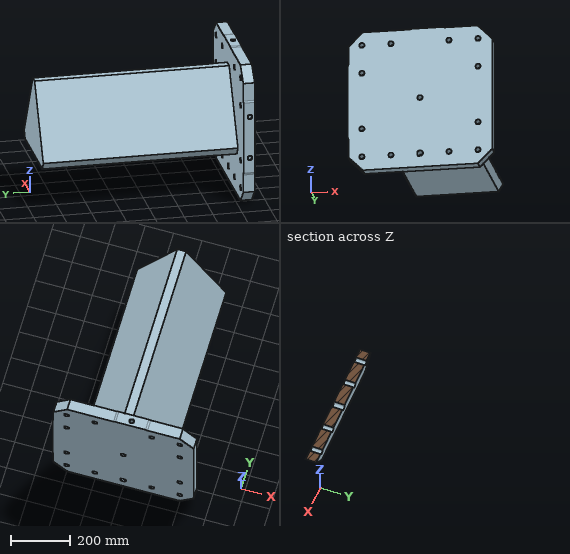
import cadquery as cq
import math

total_length = 714.0
outer_width = 498.0
pad_height = 2.0
plate_thickness = 40.0

plate_right = outer_width / 2
plate_bottom = -outer_width / 2
plate_left = -outer_width / 2 + pad_height
plate_top = outer_width / 2 - pad_height
corner_cut = 49.0

pad_ramp = 7.0
left_pad_length = 270.0
left_pad_center = 0.0
top_pad_length = 120.0
top_pad_center = 25.0

bolt_pitch = 100.0
bolt_diameter = 17.0
dowel_diameter = 20.0
center_hole_diameter = 17.0
edge_hole_diameter = 13.5
edge_hole_mouth_diameter = 16.5
edge_hole_depth = 36.0
edge_hole_setback = 18.0
left_edge_hole_offset = 75.0

column_inradius = 100.0
column_corner_width = 31.5


def make_plate():
    """Plate with cut corners; its front face lies on Y = 0."""
    width = plate_right - plate_left
    height = plate_top - plate_bottom
    return (
        cq.Workplane("XY")
        .box(width, plate_thickness, height, centered=False)
        .translate((plate_left, 0, plate_bottom))
        .edges("|Y")
        .chamfer(corner_cut)
    )


def make_pad(length):
    """Low pad along X with ramped ends, rising from Z = 0."""
    half = length / 2
    outline = [
        (-half, 0),
        (-half + pad_ramp, pad_height),
        (half - pad_ramp, pad_height),
        (half, 0),
    ]
    return cq.Workplane("XZ").polyline(outline).close().extrude(-plate_thickness)


def make_column():
    """Equilateral prism, one corner up, running back from the rear face of the plate."""
    apex_radius = 2 * column_inradius
    flat_distance = apex_radius - column_corner_width / 2 * math.sqrt(3)
    half_flat = column_corner_width / 2
    outline = []
    for corner_angle in (90, 210, 330):
        angle = math.radians(corner_angle)
        for side in (-half_flat, half_flat):
            x = flat_distance * math.cos(angle) - side * math.sin(angle)
            z = flat_distance * math.sin(angle) + side * math.cos(angle)
            outline.append((x, z))
    return (
        cq.Workplane("XZ", origin=(0, plate_thickness, 0))
        .polyline(outline)
        .close()
        .extrude(plate_thickness - total_length)
    )


def front_holes(points, diameter):
    """Cutters running through the plate thickness."""
    return cq.Workplane("XZ").pushPoints(points).circle(diameter / 2).extrude(-plate_thickness)


def edge_hole(mouth, direction):
    """Cutter for a blind hole with a 45 degree chamfered mouth, drilled into an edge of the plate."""
    start = cq.Vector(mouth)
    axis = cq.Vector(direction)
    bore_radius = edge_hole_diameter / 2
    mouth_radius = edge_hole_mouth_diameter / 2
    chamfer_depth = mouth_radius - bore_radius
    bore = cq.Solid.makeCylinder(bore_radius, edge_hole_depth, start, axis)
    chamfer = cq.Solid.makeCone(mouth_radius, bore_radius, chamfer_depth, start, axis)
    return cq.Workplane(bore).union(cq.Workplane(chamfer))


left_pad = make_pad(left_pad_length).rotate((0, 0, 0), (0, 1, 0), -90)
plate = (
    make_plate()
    .union(left_pad.translate((plate_left, 0, left_pad_center)))
    .union(make_pad(top_pad_length).translate((top_pad_center, 0, plate_top)))
)

bolt_points = []
for column in (-2, -1, 1, 2):
    for row in (-2, -1, 1, 2):
        if 2 in (abs(column), abs(row)):
            bolt_points.append((column * bolt_pitch, row * bolt_pitch))
plate = plate.cut(front_holes(bolt_points, bolt_diameter))
plate = plate.cut(front_holes([(0, -2 * bolt_pitch)], dowel_diameter))
plate = plate.cut(front_holes([(0, 0)], center_hole_diameter))

pad_left = plate_left - pad_height
pad_top = plate_top + pad_height
for z in (-left_edge_hole_offset, left_edge_hole_offset):
    plate = plate.cut(edge_hole((pad_left, edge_hole_setback, z), (1, 0, 0)))
plate = plate.cut(edge_hole((top_pad_center, edge_hole_setback, pad_top), (0, 0, -1)))

result = plate.union(make_column())